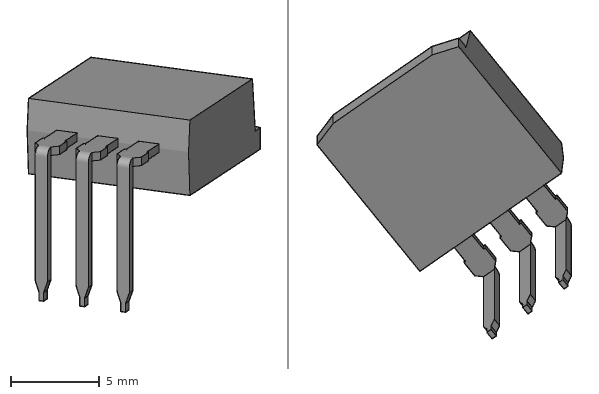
import cadquery as cq
import math

BODY_WIDTH = 10.02
BODY_HEIGHT = 4.47
BODY_LENGTH = 9.18
PARTING_HEIGHT = 2.62
FRONT_DRAFT = 0.19
BACK_DRAFT_ANGLE = 7.0

TAB_LENGTH = 1.2
TAB_THICKNESS = 1.27
TAB_CORNER_X = 1.52
TAB_CORNER_Y = 0.5

LEAD_COUNT = 3
LEAD_PITCH = 2.54
LEAD_THICKNESS = 0.5
NECK_WIDTH = 1.27
SHOULDER_WIDTH = 1.5
PIN_WIDTH = 0.77
TIP_WIDTH = 0.3
LEAD_REACH = 3.52
SHOULDER_START = 1.67
SHOULDER_END = 2.68
PIN_TAPER_START = -4.98
PIN_TAPER_END = -5.64
PIN_END = -6.16

LEAD_ROOT_DEPTH = 1.0
LEAD_TOP = PARTING_HEIGHT + LEAD_THICKNESS / 2
LEAD_BOTTOM = LEAD_TOP - LEAD_THICKNESS
BEND_START = LEAD_REACH - LEAD_THICKNESS


def make_body():
    """Side profile with a drafted front on both sides of the parting line, extruded along X."""
    back_draft = (BODY_HEIGHT - TAB_THICKNESS) * math.tan(math.radians(BACK_DRAFT_ANGLE))
    return (
        cq.Workplane("YZ")
        .moveTo(FRONT_DRAFT, 0)
        .lineTo(0, PARTING_HEIGHT)
        .lineTo(FRONT_DRAFT, BODY_HEIGHT)
        .lineTo(BODY_LENGTH - back_draft, BODY_HEIGHT)
        .lineTo(BODY_LENGTH, TAB_THICKNESS)
        .lineTo(BODY_LENGTH, 0)
        .close()
        .extrude(BODY_WIDTH / 2, both=True)
    )


def make_tab():
    """Flat plate as wide as the body, with its two rear corners cut off."""
    half_width = BODY_WIDTH / 2
    rear = BODY_LENGTH + TAB_LENGTH
    return (
        cq.Workplane("XY")
        .moveTo(-half_width, BODY_LENGTH)
        .lineTo(-half_width, rear - TAB_CORNER_Y)
        .lineTo(-half_width + TAB_CORNER_X, rear)
        .lineTo(half_width - TAB_CORNER_X, rear)
        .lineTo(half_width, rear - TAB_CORNER_Y)
        .lineTo(half_width, BODY_LENGTH)
        .close()
        .extrude(TAB_THICKNESS)
    )


def make_symmetric_plate(plane, half_outline, thickness):
    """Extrude an outline given by its +X half, listed from one end to the other."""
    mirrored = [(-x, along) for x, along in reversed(half_outline)]
    return cq.Workplane(plane).polyline(half_outline + mirrored).close().extrude(thickness)


def make_lead():
    """Horizontal shouldered strip, a quarter-round bend and a vertical pin with a narrow tip."""
    strip_outline = [
        (NECK_WIDTH / 2, LEAD_ROOT_DEPTH),
        (NECK_WIDTH / 2, -SHOULDER_START),
        (SHOULDER_WIDTH / 2, -SHOULDER_START),
        (SHOULDER_WIDTH / 2, -SHOULDER_END),
        (PIN_WIDTH / 2, -BEND_START),
    ]
    strip = make_symmetric_plate("XY", strip_outline, LEAD_THICKNESS).translate((0, 0, LEAD_BOTTOM))

    diagonal = LEAD_THICKNESS * math.sqrt(0.5)
    bend = (
        cq.Workplane("YZ")
        .moveTo(-BEND_START, LEAD_BOTTOM)
        .lineTo(-BEND_START, LEAD_TOP)
        .threePointArc((-BEND_START - diagonal, LEAD_BOTTOM + diagonal), (-LEAD_REACH, LEAD_BOTTOM))
        .close()
        .extrude(PIN_WIDTH / 2, both=True)
    )

    pin_outline = [
        (PIN_WIDTH / 2, LEAD_BOTTOM),
        (PIN_WIDTH / 2, PIN_TAPER_START),
        (TIP_WIDTH / 2, PIN_TAPER_END),
        (TIP_WIDTH / 2, PIN_END),
    ]
    pin = make_symmetric_plate("XZ", pin_outline, LEAD_THICKNESS).translate((0, -BEND_START, 0))
    return strip.union(bend).union(pin)


result = make_body().union(make_tab())
lead = make_lead()
for index in range(LEAD_COUNT):
    lead_x = (index - (LEAD_COUNT - 1) / 2) * LEAD_PITCH
    result = result.union(lead.translate((lead_x, 0, 0)))